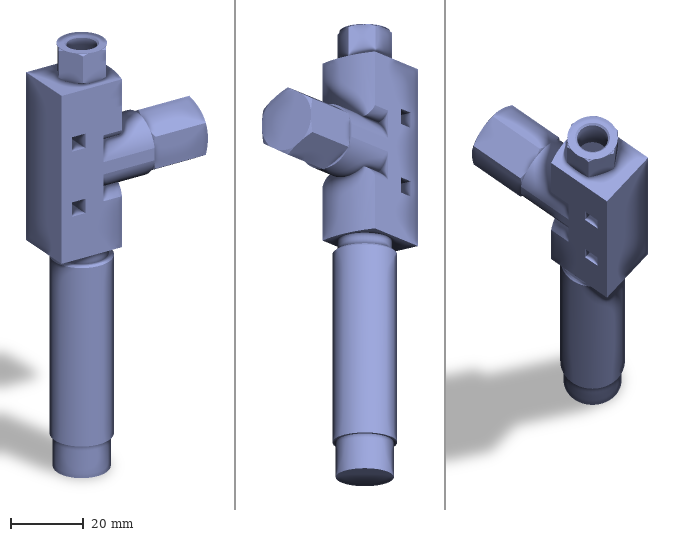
import cadquery as cq
import math

TOTAL_HEIGHT = 128.9
TOTAL_DEPTH = 48.2

TIP_DIAMETER = 16.0
SLEEVE_DIAMETER = 17.8
NECK_DIAMETER = 15.0
TIP_TOP = 10.0
SLEEVE_TOP = 65.0
SLEEVE_CHAMFER = 0.5

BLOCK_WIDTH = 18.0
BLOCK_BOTTOM = 68.3
BLOCK_TOP = 119.5
BLOCK_FRONT = -12.4
BLOCK_BACK_EDGE = 7.3
BLOCK_BACK_CROWN = 8.8

SQUARE_SIZE = 4.4
SQUARE_Y = -6.8
SQUARE_SPACING = 19.9

STEM_DIAMETER = 18.4
OUTLET_HEX_FLATS = 16.9
OUTLET_HEX_START = 18.0
OUTLET_END = BLOCK_FRONT + TOTAL_DEPTH

RELIEF_FLOOR_Y = 1.3
RELIEF_HALF_HEIGHT = 10.0
RELIEF_DEPTH = 3.4
RELIEF_RISE = 2.8
RELIEF_WALL_RADIUS = 5.2

TOP_HEX_FLATS = 13.0
RIM_DIAMETER = 13.9
RIM_THICKNESS = 0.1
BORE_DIAMETER = 8.5
BORE_MOUTH_DIAMETER = 9.5

HEX_CHAMFER = 0.6
HEX_END_CLEARANCE = 0.1

HALF_WIDTH = BLOCK_WIDTH / 2
BLOCK_HEIGHT = BLOCK_TOP - BLOCK_BOTTOM
OUTLET_Z = (BLOCK_BOTTOM + BLOCK_TOP) / 2


def cylinder(diameter, bottom, top):
    return cq.Workplane("XY", origin=(0, 0, bottom)).circle(diameter / 2).extrude(top - bottom)


def hex_nut(flats, length):
    """Hexagon along +Z with corners on the Y axis, chamfered at both ends."""
    corners = flats / math.cos(math.pi / 6)
    end_diameter = flats + HEX_END_CLEARANCE
    corner_round = (
        cq.Workplane("XZ")
        .moveTo(0, 0)
        .lineTo(end_diameter / 2, 0)
        .lineTo(corners / 2, HEX_CHAMFER)
        .lineTo(corners / 2, length - HEX_CHAMFER)
        .lineTo(end_diameter / 2, length)
        .lineTo(0, length)
        .close()
        .revolve(360, (0, 0, 0), (0, 1, 0))
    )
    prism = cq.Workplane("XY").polygon(6, corners).extrude(length).rotate((0, 0, 0), (0, 0, 1), 90)
    return prism.intersect(corner_round)


def make_tube():
    tip = cylinder(TIP_DIAMETER, 0, TIP_TOP)
    sleeve = cylinder(SLEEVE_DIAMETER, TIP_TOP, SLEEVE_TOP).faces(">Z").chamfer(SLEEVE_CHAMFER)
    neck = cylinder(NECK_DIAMETER, SLEEVE_TOP, BLOCK_BOTTOM)
    return tip.union(sleeve).union(neck)


def make_block():
    return (
        cq.Workplane("XY", origin=(0, 0, BLOCK_BOTTOM))
        .moveTo(-HALF_WIDTH, BLOCK_FRONT)
        .lineTo(HALF_WIDTH, BLOCK_FRONT)
        .lineTo(HALF_WIDTH, BLOCK_BACK_EDGE)
        .threePointArc((0, BLOCK_BACK_CROWN), (-HALF_WIDTH, BLOCK_BACK_EDGE))
        .close()
        .extrude(BLOCK_HEIGHT)
    )


def make_relief():
    """Space beside the +X side of the stem, open to the side and to the back of the block."""
    inner_x = HALF_WIDTH - RELIEF_DEPTH
    inner_z = RELIEF_HALF_HEIGHT - RELIEF_RISE
    return (
        cq.Workplane("XZ", origin=(0, RELIEF_FLOOR_Y, OUTLET_Z))
        .moveTo(HALF_WIDTH, RELIEF_HALF_HEIGHT)
        .radiusArc((inner_x, inner_z), RELIEF_WALL_RADIUS)
        .lineTo(inner_x, -inner_z)
        .radiusArc((HALF_WIDTH, -RELIEF_HALF_HEIGHT), RELIEF_WALL_RADIUS)
        .close()
        .extrude(-(BLOCK_BACK_CROWN - RELIEF_FLOOR_Y))
    )


def make_outlet():
    stem_length = OUTLET_HEX_START - RELIEF_FLOOR_Y
    stem = (
        cq.Workplane("XZ", origin=(0, RELIEF_FLOOR_Y, OUTLET_Z))
        .circle(STEM_DIAMETER / 2)
        .extrude(-stem_length)
    )
    flats = cq.Workplane("XY").box(BLOCK_WIDTH, stem_length, STEM_DIAMETER)
    flats = flats.translate((0, RELIEF_FLOOR_Y + stem_length / 2, OUTLET_Z))
    nut = hex_nut(OUTLET_HEX_FLATS, OUTLET_END - OUTLET_HEX_START)
    nut = nut.rotate((0, 0, 0), (1, 0, 0), -90).translate((0, OUTLET_HEX_START, OUTLET_Z))
    return stem.intersect(flats).union(nut)


def make_top_nut():
    nut = hex_nut(TOP_HEX_FLATS, TOTAL_HEIGHT - BLOCK_TOP).translate((0, 0, BLOCK_TOP))
    return nut.union(cylinder(RIM_DIAMETER, TOTAL_HEIGHT - RIM_THICKNESS, TOTAL_HEIGHT))


def make_top_bore():
    mouth_chamfer = (BORE_MOUTH_DIAMETER - BORE_DIAMETER) / 2
    bore = cylinder(BORE_DIAMETER, BLOCK_TOP, TOTAL_HEIGHT)
    mouth = (
        cq.Workplane("XY", origin=(0, 0, TOTAL_HEIGHT - mouth_chamfer))
        .circle(BORE_DIAMETER / 2)
        .workplane(offset=mouth_chamfer)
        .circle(BORE_MOUTH_DIAMETER / 2)
        .loft()
    )
    return bore.union(mouth)


block = make_block()
relief = make_relief()
block = block.cut(relief).cut(relief.mirror("YZ"))
for side in (-1, 1):
    square = cq.Workplane("XY").box(BLOCK_WIDTH, SQUARE_SIZE, SQUARE_SIZE)
    block = block.cut(square.translate((0, SQUARE_Y, OUTLET_Z + side * SQUARE_SPACING / 2)))

result = make_tube().union(block).union(make_outlet()).union(make_top_nut()).cut(make_top_bore())